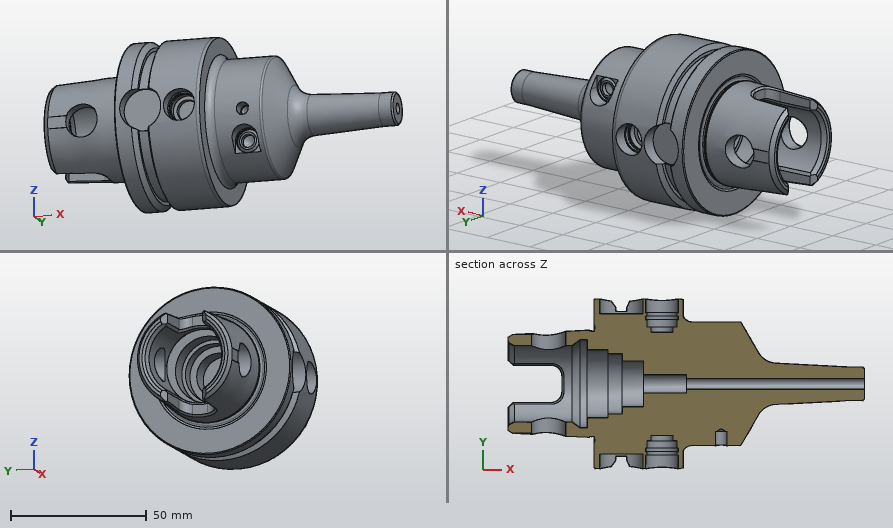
import cadquery as cq
import math


length = 132.0

shank_start_radius = 18.3
shank_end_radius = 19.9
shank_end_x = 30.2
tip_chamfer_length = 1.8
tip_rim_radius = 17.3
tip_cone_end_radius = 18.5
neck_radius = 19.7
neck_root_radius = 19.5
neck_root_x = 31.0

relief_floor_radius = 21.3
relief_inner_radius = 20.6
relief_mouth_radius = 22.0
relief_depth = 0.3

flange_radius = 63.0 / 2
flange_start_x = 31.8
flange_end_x = 65.0
flange_front_chamfer = 0.4
flange_rear_chamfer_length = 1.3
flange_rear_chamfer_height = 0.3
groove_radius = 28.0
groove_start_x = 38.3
groove_floor_start_x = 40.0
groove_floor_end_x = 44.0
groove_end_x = 45.0
groove_wall_radius = 29.3

body_radius = 23.0
body_fillet_height = 2.0
body_fillet_length = 3.2
body_end_x = 85.7
shoulder_radius = 0.9

cone_angle = math.radians(60)
nose_taper_angle = math.radians(3)
nose_blend_radius = 7.8
nose_tip_radius = 12.5 / 2
nose_tip_length = 5.5
nose_tip_chamfer = 0.7

mouth_radius = 16.1
mouth_cone_x = 0.4
mouth_cone_radius = 15.0
bore_x = 2.4
bore_radius = 14.1
clamp_groove_radius = 16.2
clamp_groove_x = 23.8
clamp_groove_floor_x = 26.7
bore_steps = [
    (clamp_groove_radius, 29.3),
    (12.5, 37.0),
    (11.1, 42.2),
    (8.5, 50.2),
    (3.3, 66.0),
    (2.0, length),
]

slot_half_width = 6.9
slot_depth = 19.9
slot_corner_radius = 4.0
slot_flare_length = 2.0
slot_edge_chamfer = 0.8

cross_hole_x = 15.0
cross_hole_diameter = 12.5
lead_flat_width = 4.5
lead_flat_y = 18.3

drive_pocket_x = 42.0
drive_pocket_diameter = 16.0
drive_pocket_floor_y = 26.0
side_hole_x = 57.0
side_hole_lip_diameter = 11.0
side_hole_ring_diameter = 12.0
side_hole_steps = [
    (side_hole_ring_diameter, 26.4, flange_radius),
    (side_hole_ring_diameter, 23.8, 25.1),
    (side_hole_lip_diameter, 21.1, flange_radius),
    (8.0, 19.1, flange_radius),
]

screw_x = 79.0
screw_z = 12.0
screw_pocket_width = 9.9
screw_pocket_floor_y = 16.0
screw_head_diameter = 9.0
screw_head_chamfer_height = 1.2
screw_rim_diameter = 6.6
socket_diameter = 5.0
socket_depth = 2.0
socket_point_depth = 1.0

pin_z = -1.2
pin_diameter = 4.6
pin_depth = 5.3
pin_seat_diameter = 4.0
pin_seat_depth = 0.9
pin_point_diameter = 2.2
pin_point_depth = 0.7


def revolve_about_x(outline):
    return outline.close().revolve(360, (0, 0, 0), (1, 0, 0))


def side_cylinder(x, z, diameter, start_y, end_y):
    """Cylinder along Y between two places measured outwards on the -Y side."""
    plane = cq.Workplane("XZ", origin=(x, 0, z)).workplane(offset=start_y)
    return plane.circle(diameter / 2).extrude(end_y - start_y)


def revolve_about_hole_axis(z, outline):
    """Revolve (radius, outward y) points about an axis along Y in the -Y side of the body."""
    points = [(radius, -y) for radius, y in outline]
    plane = cq.Workplane("XY", origin=(screw_x, 0, z))
    return plane.polyline(points).close().revolve(360, (0, 0, 0), (0, 1, 0))


def both_sides(tool):
    """The tool together with its copy turned half a turn about X."""
    return tool.union(tool.rotate((0, 0, 0), (1, 0, 0), 180))


def outer_body():
    fillet_radius = (body_fillet_length**2 + body_fillet_height**2) / (2 * body_fillet_height)
    fillet_end_x = flange_end_x + body_fillet_length
    fillet_half_angle = math.asin(body_fillet_length / fillet_radius) / 2
    fillet_mid = (
        fillet_end_x - fillet_radius * math.sin(fillet_half_angle),
        body_radius + fillet_radius * (1 - math.cos(fillet_half_angle)),
    )

    shoulder_mid = (
        body_end_x + shoulder_radius * math.sin(cone_angle / 2),
        body_radius - shoulder_radius * (1 - math.cos(cone_angle / 2)),
    )
    cone_start = (
        body_end_x + shoulder_radius * math.sin(cone_angle),
        body_radius - shoulder_radius * (1 - math.cos(cone_angle)),
    )

    nose_tip_x = length - nose_tip_length
    taper_slope = math.tan(nose_taper_angle)
    cone_slope = math.tan(cone_angle)
    taper_height = nose_tip_radius + nose_tip_x * taper_slope + nose_blend_radius / math.cos(nose_taper_angle)
    cone_height = cone_start[1] + cone_start[0] * cone_slope + nose_blend_radius / math.cos(cone_angle)
    blend_x = (cone_height - taper_height) / (cone_slope - taper_slope)
    blend_r = taper_height - blend_x * taper_slope

    def blend_point(angle):
        return (
            blend_x - nose_blend_radius * math.sin(angle),
            blend_r - nose_blend_radius * math.cos(angle),
        )

    outline = (
        cq.Workplane("XY")
        .moveTo(0, 0)
        .lineTo(0, shank_start_radius)
        .lineTo(shank_end_x, shank_end_radius)
        .lineTo(shank_end_x, neck_radius)
        .lineTo(neck_root_x, neck_radius)
        .lineTo(neck_root_x, neck_root_radius)
        .lineTo(flange_start_x, neck_root_radius)
        .lineTo(flange_start_x + relief_depth, relief_inner_radius)
        .lineTo(flange_start_x + relief_depth, relief_floor_radius)
        .lineTo(flange_start_x, relief_mouth_radius)
        .lineTo(flange_start_x, flange_radius - flange_front_chamfer)
        .lineTo(flange_start_x + flange_front_chamfer, flange_radius)
        .lineTo(groove_start_x, flange_radius)
        .lineTo(groove_floor_start_x, groove_wall_radius)
        .lineTo(groove_floor_start_x, groove_radius)
        .lineTo(groove_floor_end_x, groove_radius)
        .lineTo(groove_floor_end_x, groove_wall_radius)
        .lineTo(groove_end_x, flange_radius)
        .lineTo(flange_end_x - flange_rear_chamfer_length, flange_radius)
        .lineTo(flange_end_x, flange_radius - flange_rear_chamfer_height)
        .lineTo(flange_end_x, body_radius + body_fillet_height)
        .threePointArc(fillet_mid, (fillet_end_x, body_radius))
        .lineTo(body_end_x, body_radius)
        .threePointArc(shoulder_mid, cone_start)
        .lineTo(*blend_point(cone_angle))
        .threePointArc(
            blend_point((cone_angle + nose_taper_angle) / 2),
            blend_point(nose_taper_angle),
        )
        .lineTo(nose_tip_x, nose_tip_radius)
        .lineTo(length - nose_tip_chamfer, nose_tip_radius)
        .lineTo(length, nose_tip_radius - nose_tip_chamfer)
        .lineTo(length, 0)
    )
    return revolve_about_x(outline)


def bore():
    outline = (
        cq.Workplane("XY")
        .moveTo(0, 0)
        .lineTo(0, bore_radius)
        .lineTo(clamp_groove_x, bore_radius)
    )
    step_start_x = clamp_groove_floor_x
    for radius, step_end_x in bore_steps:
        outline = outline.lineTo(step_start_x, radius).lineTo(step_end_x, radius)
        step_start_x = step_end_x
    return revolve_about_x(outline.lineTo(length, 0))


def shank_slot():
    slot = cq.Workplane("XY").box(
        slot_depth, 2 * slot_half_width, 2 * shank_end_radius, centered=(False, True, True)
    )
    return slot.edges("|Z and >X").fillet(slot_corner_radius)


def chamfer_slot_rims(slotted):
    """Break the edges where the slot walls meet the bore and the outside of the shank."""
    margin = 0.1
    reach = shank_end_radius + margin
    half_width = slot_half_width + margin
    rims = slotted.edges(
        cq.selectors.BoxSelector(
            (margin, -half_width, -reach), (slot_depth + margin, half_width, reach), boundingbox=True
        )
    )
    return rims.edges("not |Z").chamfer(slot_edge_chamfer)


def slot_mouth_flare():
    half_width = slot_half_width + slot_flare_length
    return (
        cq.Workplane("XY")
        .polyline([(0, -half_width), (half_width, 0), (0, half_width)])
        .close()
        .extrude(shank_end_radius, both=True)
    )


def tip_chamfer():
    """Ring removed outside the chamfer cone at the shank mouth."""
    cone_slope = (tip_cone_end_radius - tip_rim_radius) / tip_chamfer_length
    outline = (
        cq.Workplane("XY")
        .moveTo(0, tip_rim_radius)
        .lineTo(2 * tip_chamfer_length, tip_rim_radius + 2 * tip_chamfer_length * cone_slope)
        .lineTo(0, shank_end_radius)
    )
    return revolve_about_x(outline)


def mouth_cones():
    outline = (
        cq.Workplane("XY")
        .moveTo(0, 0)
        .lineTo(0, mouth_radius)
        .lineTo(mouth_cone_x, mouth_cone_radius)
        .lineTo(bore_x, bore_radius)
        .lineTo(bore_x, 0)
    )
    return revolve_about_x(outline)


def cross_hole():
    return side_cylinder(cross_hole_x, 0, cross_hole_diameter, 0, shank_end_radius)


def lead_flat():
    flat_height = shank_end_radius - lead_flat_y
    return cq.Workplane("XY").box(
        cross_hole_x, flat_height, lead_flat_width, centered=(False, False, True)
    ).translate((0, lead_flat_y, 0))


def drive_pocket():
    return side_cylinder(drive_pocket_x, 0, drive_pocket_diameter, drive_pocket_floor_y, flange_radius)


def side_hole():
    tool = cq.Workplane("XY")
    for diameter, start_y, end_y in side_hole_steps:
        tool = tool.union(side_cylinder(side_hole_x, 0, diameter, start_y, end_y))
    return tool


def screw_pocket():
    pocket = side_cylinder(screw_x, -screw_z, screw_pocket_width, screw_pocket_floor_y, body_radius)
    open_side = cq.Workplane("XY").box(
        screw_pocket_width,
        body_radius - screw_pocket_floor_y,
        body_radius - screw_z,
        centered=(True, False, False),
    ).translate((screw_x, -body_radius, -body_radius))
    trough_floor_y = screw_pocket_floor_y - screw_head_chamfer_height
    socket_floor_y = screw_pocket_floor_y - socket_depth
    trough = revolve_about_hole_axis(-screw_z, [
        (screw_rim_diameter / 2, screw_pocket_floor_y),
        (screw_head_diameter / 2, screw_pocket_floor_y),
        (screw_head_diameter / 2, trough_floor_y),
    ])
    trough_outlet = side_cylinder(
        screw_x, -screw_z, screw_head_diameter, screw_pocket_floor_y, body_radius
    )
    socket = revolve_about_hole_axis(-screw_z, [
        (0, screw_pocket_floor_y),
        (socket_diameter / 2, screw_pocket_floor_y),
        (socket_diameter / 2, socket_floor_y),
        (0, socket_floor_y - socket_point_depth),
    ])
    return pocket.union(open_side).union(trough_outlet).union(trough).union(socket)


def pin_hole():
    seat_y = body_radius - pin_depth
    point_y = seat_y - pin_seat_depth
    return revolve_about_hole_axis(pin_z, [
        (0, body_radius),
        (pin_diameter / 2, body_radius),
        (pin_diameter / 2, seat_y),
        (pin_seat_diameter / 2, seat_y),
        (pin_point_diameter / 2, point_y),
        (0, point_y - pin_point_depth),
    ])


shank_cuts = [tip_chamfer(), mouth_cones(), slot_mouth_flare()]
side_cuts = [both_sides(side()) for side in (cross_hole, lead_flat, drive_pocket, side_hole, screw_pocket)]

result = chamfer_slot_rims(outer_body().cut(bore()).cut(shank_slot()))
for tool in shank_cuts + side_cuts + [pin_hole()]:
    result = result.cut(tool)